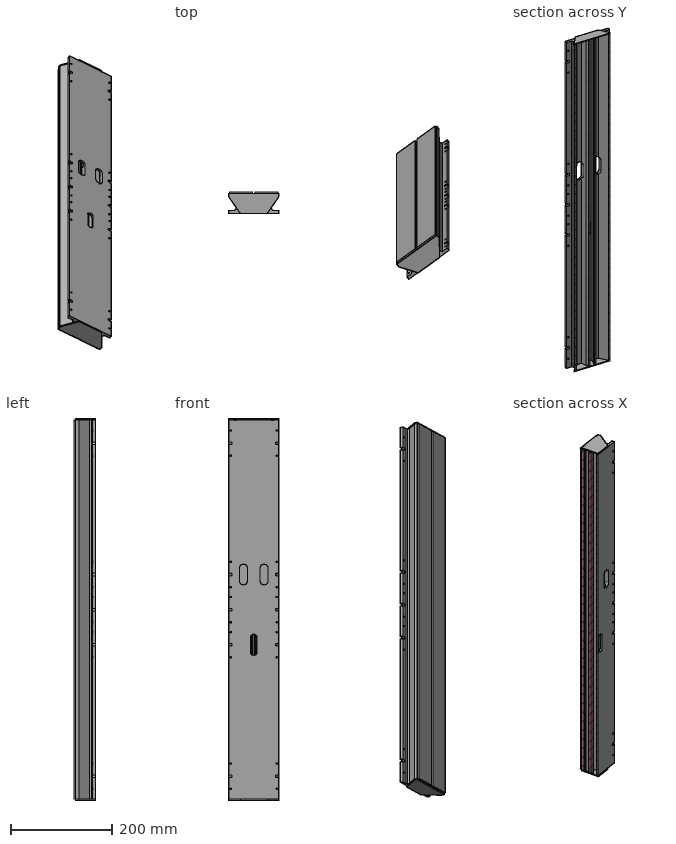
import cadquery as cq
import math

length = 756.0
width = 100.0
depth = 43.0
half_width = width / 2
front_y = -depth / 2
back_y = depth / 2

cap_thickness = 2.95
rail_length = length - 2 * cap_thickness
cover_thickness = 3.2
cover_half_gap = 2.35
cover_side_inset = 1.9
cover_outer_x = half_width - cover_side_inset
rail_back_y = back_y - cover_thickness

shoulder_y = back_y - 10.0
trapezoid_half_front = 26.5
foot_top_y = front_y + 6.0
foot_root_x = 38.5
gusset_bend = (36.0, -13.5)
gusset_top_y = -10.0

wall_thickness = 4.0
cavity_front_y = front_y + 4.15
cavity_back_y = shoulder_y

inner_wall_slope = 0.29
centre_cavity_half_back = 1.5
inner_wall_angle = math.atan(inner_wall_slope)
inner_wall_span = wall_thickness / math.cos(inner_wall_angle)

strip_length = 7.5
back_strip_y = 4.5
front_strip_y = back_strip_y - strip_length * math.cos(inner_wall_angle)

station_pitch = 69.5
end_station_z = 329.5
station_heights = [-end_station_z, -station_pitch, 0, station_pitch, end_station_z]
notch_depth = 7.2
notch_width = 5.0
screw_hole_diameter = 2.65
screw_hole_inset = 4.5
screw_hole_offset = 25.0
window_length = 41.0
window_width = 16.0
window_x = 20.5
centre_slot_width = 12.0

sides = (-1, 1)


def extrude_section(points, bottom_z, height):
    """Closed XY outline extruded upwards from bottom_z."""
    return cq.Workplane("XY", origin=(0, 0, bottom_z)).polyline(points).close().extrude(height)


def mirrored_outline(right_points):
    """Outline made of the right-hand points and their mirror images across X = 0."""
    return right_points + [(-x, y) for x, y in reversed(right_points)]


def outer_wall_x(y):
    """Half width of the sloping outer faces at depth y."""
    run = (y - front_y) / (shoulder_y - front_y)
    return trapezoid_half_front + (half_width - trapezoid_half_front) * run


def centre_cavity_x(y):
    """Half width of the centre cavity at depth y."""
    return centre_cavity_half_back + inner_wall_slope * (cavity_back_y - y)


def front_plane(points):
    """Workplane on the front face with the given (x, z) positions."""
    return cq.Workplane("XZ", origin=(0, front_y, 0)).pushPoints(points)


def make_strip(side, centre_y):
    """Flat strip filling the full thickness of an inner wall along the whole rail."""
    centre_x = side * (centre_cavity_x(centre_y) + inner_wall_span / 2)
    strip = cq.Workplane("XY").box(wall_thickness, strip_length, rail_length)
    turn = side * math.degrees(inner_wall_angle)
    return strip.rotate((0, 0, 0), (0, 0, 1), turn).translate((centre_x, centre_y, 0))


def make_rail(strips):
    bottom_z = -rail_length / 2
    rail = extrude_section(
        mirrored_outline(
            [
                (half_width, front_y),
                (half_width, foot_top_y),
                (foot_root_x, foot_top_y),
                gusset_bend,
                (outer_wall_x(gusset_top_y), gusset_top_y),
                (half_width, shoulder_y),
                (half_width, rail_back_y),
            ]
        ),
        bottom_z,
        rail_length,
    )

    centre_outline = [(centre_cavity_x(y), y) for y in (cavity_front_y, cavity_back_y)]
    rail = rail.cut(extrude_section(mirrored_outline(centre_outline), bottom_z, rail_length))
    outer_slope = (half_width - trapezoid_half_front) / (shoulder_y - front_y)
    outer_wall_span = wall_thickness * math.hypot(1, outer_slope)
    for side in sides:
        outline = [
            (side * (outer_wall_x(cavity_front_y) - outer_wall_span), cavity_front_y),
            (side * (outer_wall_x(cavity_back_y) - outer_wall_span), cavity_back_y),
            (side * (centre_cavity_x(cavity_back_y) + inner_wall_span), cavity_back_y),
            (side * (centre_cavity_x(cavity_front_y) + inner_wall_span), cavity_front_y),
        ]
        rail = rail.cut(extrude_section(outline, bottom_z, rail_length))

    foot_thickness = foot_top_y - front_y
    notches = [(side * half_width, z) for side in sides for z in station_heights]
    rail = rail.cut(front_plane(notches).slot2D(2 * notch_depth, notch_width).extrude(-foot_thickness))
    holes = [
        (side * (half_width - screw_hole_inset), z + step * screw_hole_offset)
        for side in sides
        for z in station_heights
        for step in (-1, 1)
    ]
    rail = rail.cut(front_plane(holes).circle(screw_hole_diameter / 2).extrude(-foot_thickness))

    cavity_reach = cavity_back_y - front_y
    windows = [(side * window_x, station_pitch) for side in sides]
    rail = rail.cut(front_plane(windows).slot2D(window_length, window_width, 90).extrude(-cavity_reach))

    plate_thickness = cavity_front_y - front_y
    slot = front_plane([(0, -station_pitch)]).slot2D(window_length, centre_slot_width, 90)
    rail = rail.cut(slot.extrude(-plate_thickness))

    for strip in strips:
        rail = rail.cut(strip)
    return rail


def make_cover(side):
    """Back cover strip over one half of the rail's width."""
    cover = cq.Workplane("XY").box(cover_outer_x - cover_half_gap, cover_thickness, rail_length)
    centre_x = side * (cover_outer_x + cover_half_gap) / 2
    return cover.translate((centre_x, back_y - cover_thickness / 2, 0))


def make_end_cap(bottom_z):
    """Plate closing one end of the rail, without the feet."""
    outline = mirrored_outline(
        [(trapezoid_half_front, front_y), (half_width, shoulder_y), (half_width, rail_back_y)]
    )
    return extrude_section(outline, bottom_z, cap_thickness)


strips = [make_strip(side, y) for side in sides for y in (back_strip_y, front_strip_y)]
rail = make_rail(strips)
covers = [make_cover(side) for side in sides]
end_caps = [make_end_cap(z) for z in (-length / 2, length / 2 - cap_thickness)]

bodies = [rail] + strips + covers + end_caps
result = cq.Compound.makeCompound([body.val() for body in bodies])